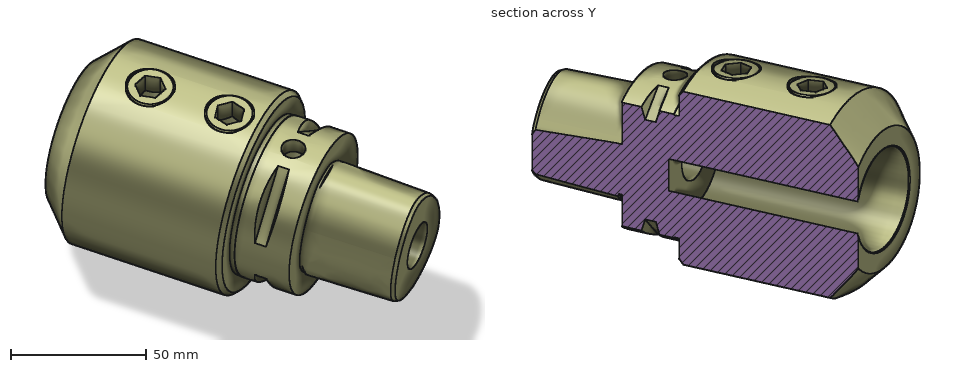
import cadquery as cq
import math


BODY_END = 75.9
NECK_END = 78.0
FLANGE_END = 100.0
TAPER_START = 102.4
TOTAL_LENGTH = 138.0

BODY_RADIUS = 79.9 / 2
FRONT_FACE_RADIUS = 28.0
FRONT_CONE = BODY_RADIUS - FRONT_FACE_RADIUS
BODY_REAR_CHAMFER = 1.8
NECK_RADIUS = 62.7 / 2
FLANGE_RADIUS = 63.0 / 2

BODY_HEIGHT = 76.6
FLAT_Z = BODY_RADIUS - BODY_HEIGHT

BORE_RADIUS = 40.0 / 2
BORE_DEPTH = 80.0
BORE_MOUTH_CHAMFER = 0.4
THROUGH_RADIUS = 18.4 / 2

LOBE_MEAN_RADIUS = 22.0
LOBE_SWING = 1.4
LOBE_COUNT = 3
LOBE_PITCH = 360 / LOBE_COUNT
FIRST_FLAT_ANGLE = 30.0
SPLINE_SPANS = 12
TAPER_PER_LENGTH = 1 / 40
TAPER_EDGE_BLEND = 0.4
END_BEVEL_LENGTH = 1.5
END_BEVEL_DROP = 0.7
RELIEF_RADIUS = 22.6
RELIEF_LENGTH = 1.1

SCREW_POSITIONS = (30.1, 62.1)
SCREW_RADIUS = 18.4 / 2
SCREW_CHAMFER = 0.7
SCREW_TOP_Z = 39.5
SCREW_RIM_Z = SCREW_TOP_Z - SCREW_CHAMFER
HEX_SIDES = 6
HEX_ACROSS_FLATS = 10.0
HEX_CORNER_RADIUS = HEX_ACROSS_FLATS / math.sqrt(3)
HEX_DEPTH = 8.3
HEX_TURNS = (13.0, 43.0)
DRILL_HALF_ANGLE = 60.0

GRIP_X = 87.9
GRIP_FLOOR_DISTANCE = 27.7
GRIP_FLOOR_WIDTH = 4.4
GRIP_MOUTH_WIDTH = 7.7
GRIP_ANGLES = (45, 135, 225, 315)
PIN_HOLE_RADIUS = 9.0 / 2
PIN_HOLE_DEPTH = 6.9


def revolve_about_axis(points):
    """Revolve a closed (x, radius) outline about the X axis."""
    return cq.Workplane("XY").polyline(points).close().revolve(360, (0, 0, 0), (1, 0, 0))


def drilled_tip(radius, x, z):
    """Cone left by a drill, with its base at height z and its point downward."""
    tip = cq.Solid.makeCone(
        radius, 0, radius / math.tan(math.radians(DRILL_HALF_ANGLE)),
        pnt=cq.Vector(x, 0, z), dir=cq.Vector(0, 0, -1),
    )
    return cq.Workplane(obj=tip)


def turned_body():
    body = revolve_about_axis([
        (0, 0),
        (0, FRONT_FACE_RADIUS),
        (FRONT_CONE, BODY_RADIUS),
        (BODY_END - BODY_REAR_CHAMFER, BODY_RADIUS),
        (BODY_END, BODY_RADIUS - BODY_REAR_CHAMFER),
        (BODY_END, NECK_RADIUS),
        (NECK_END, NECK_RADIUS),
        (NECK_END, FLANGE_RADIUS),
        (FLANGE_END, FLANGE_RADIUS),
        (FLANGE_END, 0),
    ])
    below_flat = cq.Workplane("XY").box(
        BODY_END, 2 * BODY_RADIUS, BODY_RADIUS, centered=(False, True, False)
    ).translate((0, 0, FLAT_Z - BODY_RADIUS))
    return body.cut(below_flat)


def lobe_point(mean_radius, angle):
    """(y, z) of the three-lobed curve where its outward normal is at this angle; one lobe points to +Z."""
    swing = -LOBE_SWING * math.sin(LOBE_COUNT * angle)
    swing_slope = -LOBE_COUNT * LOBE_SWING * math.cos(LOBE_COUNT * angle)
    distance = mean_radius + swing
    return (
        distance * math.cos(angle) - swing_slope * math.sin(angle),
        distance * math.sin(angle) + swing_slope * math.cos(angle),
    )


def lobe_wire(x, inset):
    """Closed three-lobed wire at x, moved inward by inset, with one spline per lobe."""
    outline = cq.Workplane("YZ", origin=(x, 0, 0))
    outline = outline.moveTo(*lobe_point(LOBE_MEAN_RADIUS - inset, math.radians(FIRST_FLAT_ANGLE)))
    for lobe in range(LOBE_COUNT):
        start = FIRST_FLAT_ANGLE + lobe * LOBE_PITCH
        angles = [math.radians(start + LOBE_PITCH * i / SPLINE_SPANS) for i in range(SPLINE_SPANS + 1)]
        points = [lobe_point(LOBE_MEAN_RADIUS - inset, angle) for angle in angles]
        tangents = [(-math.sin(angle), math.cos(angle)) for angle in (angles[0], angles[-1])]
        outline = outline.spline(points[1:], tangents=tangents, includeCurrent=True)
    return outline.wire().val()


def shank():
    blend_start = TAPER_START - TAPER_EDGE_BLEND
    blend_end = TAPER_START + TAPER_EDGE_BLEND
    bevel_start = TOTAL_LENGTH - END_BEVEL_LENGTH
    bevel_inset = (bevel_start - TAPER_START) * TAPER_PER_LENGTH
    sections = [
        (FLANGE_END, 0),
        (blend_start, 0),
        (blend_end, TAPER_EDGE_BLEND * TAPER_PER_LENGTH),
        (bevel_start, bevel_inset),
        (TOTAL_LENGTH, bevel_inset + END_BEVEL_DROP),
    ]
    wires = [lobe_wire(x, inset) for x, inset in sections]
    return cq.Workplane(obj=cq.Solid.makeLoft(wires, True))


def lobe_relief():
    """Ring that trims the lobe peaks next to the flange, with a 45 degree run-out."""
    clear_radius = FLANGE_RADIUS
    ramp_start = FLANGE_END + RELIEF_LENGTH
    return revolve_about_axis([
        (FLANGE_END, RELIEF_RADIUS),
        (ramp_start, RELIEF_RADIUS),
        (ramp_start + clear_radius - RELIEF_RADIUS, clear_radius),
        (FLANGE_END, clear_radius),
    ])


def axial_bores():
    mouth_radius = BORE_RADIUS + BORE_MOUTH_CHAMFER
    return revolve_about_axis([
        (0, 0),
        (0, mouth_radius),
        (BORE_MOUTH_CHAMFER, BORE_RADIUS),
        (BORE_DEPTH, BORE_RADIUS),
        (BORE_DEPTH, THROUGH_RADIUS),
        (TOTAL_LENGTH, THROUGH_RADIUS),
        (TOTAL_LENGTH, 0),
    ])


def screw_well(x):
    """Space in the body above the cylindrical part of a clamping screw."""
    height = BODY_RADIUS - SCREW_RIM_Z
    return cq.Workplane("XY", origin=(x, 0, SCREW_RIM_Z)).circle(SCREW_RADIUS).extrude(height)


def screw_tip(x):
    """Chamfered end of a clamping screw, standing slightly proud of the body at its sides."""
    return cq.Workplane(obj=cq.Solid.makeCone(
        SCREW_RADIUS, SCREW_RADIUS - SCREW_CHAMFER, SCREW_CHAMFER, pnt=cq.Vector(x, 0, SCREW_RIM_Z)
    ))


def hex_socket(x, turn):
    """Hexagonal socket with a conical floor, turned by this angle about the screw's axis."""
    socket_floor = SCREW_TOP_Z - HEX_DEPTH
    hexagon = (
        cq.Workplane("XY")
        .polygon(HEX_SIDES, 2 * HEX_CORNER_RADIUS)
        .extrude(2 * HEX_DEPTH)
        .rotate((0, 0, 0), (0, 0, 1), turn)
        .translate((x, 0, SCREW_TOP_Z - 2 * HEX_DEPTH))
    )
    room = cq.Workplane("XY", origin=(x, 0, socket_floor)).circle(HEX_CORNER_RADIUS).extrude(HEX_DEPTH)
    return room.union(drilled_tip(HEX_CORNER_RADIUS, x, socket_floor)).intersect(hexagon)


def grip_slot(angle):
    """Straight slot with flared sides across the flange, facing outward at this angle about X."""
    depth = FLANGE_RADIUS - GRIP_FLOOR_DISTANCE
    half_floor = GRIP_FLOOR_WIDTH / 2
    half_mouth = GRIP_MOUTH_WIDTH / 2
    return (
        cq.Workplane("XZ", origin=(GRIP_X, 0, GRIP_FLOOR_DISTANCE))
        .polyline([(-half_floor, 0), (half_floor, 0), (half_mouth, depth), (-half_mouth, depth)])
        .close()
        .extrude(FLANGE_RADIUS, both=True)
        .rotate((0, 0, 0), (1, 0, 0), angle)
    )


def pin_hole():
    floor_z = FLANGE_RADIUS - PIN_HOLE_DEPTH
    hole = cq.Workplane("XY", origin=(GRIP_X, 0, floor_z)).circle(PIN_HOLE_RADIUS).extrude(PIN_HOLE_DEPTH)
    return hole.union(drilled_tip(PIN_HOLE_RADIUS, GRIP_X, floor_z))


result = turned_body().union(shank().cut(lobe_relief()))
result = result.cut(axial_bores()).cut(pin_hole())
for screw_x, hex_turn in zip(SCREW_POSITIONS, HEX_TURNS):
    result = result.cut(screw_well(screw_x)).union(screw_tip(screw_x))
    result = result.cut(hex_socket(screw_x, hex_turn))
for grip_angle in GRIP_ANGLES:
    result = result.cut(grip_slot(grip_angle))